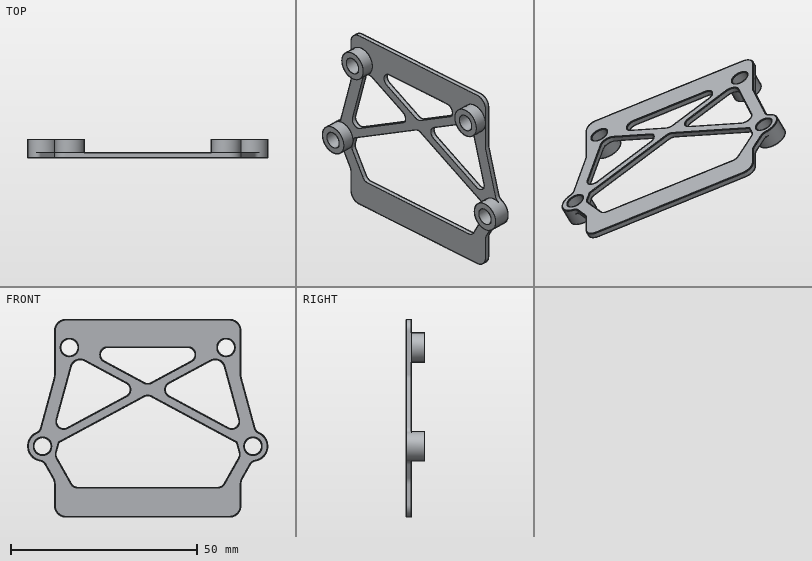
import cadquery as cq
import math

plate_height = 53.0
plate_half_width = 25.0
plate_thickness = 1.5
corner_radius = 3.0
edge_chamfer = 0.2

boss_diameter = 8.0
hole_diameter = 4.6
overall_depth = 5.0
overall_width = 64.4
boss_radius = boss_diameter / 2
lower_hole_x = overall_width / 2 - boss_radius
lower_hole_z = 19.0
upper_hole_x = plate_half_width - boss_radius
upper_hole_z = 45.45
ear_fillet = boss_radius / 2

cross_bar_width = 2.45
side_bar_width = 3.6
bottom_band_height = 8.0
top_window_z = upper_hole_z
lower_bar_lean = math.radians(29.5)
window_fillet = 1.9
boss_corner_fillet = 0.5
upper_corner_fillet = 2.5

lower_hole = (lower_hole_x, lower_hole_z)
upper_hole = (upper_hole_x, upper_hole_z)
cross_angle = math.atan2(upper_hole_z - lower_hole_z, upper_hole_x + lower_hole_x)
side_angle = math.atan2(upper_hole_z - lower_hole_z, upper_hole_x - lower_hole_x)
lower_bar_angle = math.pi / 2 - lower_bar_lean


def line(point, angle, left_offset=0.0):
    """Line through a point at an angle, shifted sideways to the left of its direction."""
    x = point[0] - left_offset * math.sin(angle)
    z = point[1] + left_offset * math.cos(angle)
    return x, z, angle


def meet(first, second):
    """Intersection point of two lines."""
    x1, z1, angle1 = first
    x2, z2, angle2 = second
    reach = (x2 - x1) * math.sin(angle2) - (z2 - z1) * math.cos(angle2)
    reach /= math.sin(angle2 - angle1)
    return x1 + reach * math.cos(angle1), z1 + reach * math.sin(angle1)


def mirrored(points):
    """The same points reflected to the -X side, in reverse order."""
    return [(-x, z) for x, z in reversed(points)]


def prism(points, depth):
    """Polygon in the XZ plane extruded from the front face toward +Y."""
    return cq.Workplane("XZ").polyline(points).close().extrude(-depth)


def cylinders(centers, diameter, depth):
    return cq.Workplane("XZ").pushPoints(centers).circle(diameter / 2).extrude(-depth)


def fillet_corners(body, corners, radius):
    """Round the plate-deep edges of a prism that stand at the given corners."""
    for x, z in corners:
        corner_edge = cq.selectors.NearestToPointSelector((x, plate_thickness / 2, z))
        body = body.edges("|Y").edges(corner_edge).fillet(radius)
    return body


rising_bar_top = line(upper_hole, cross_angle, cross_bar_width / 2)
rising_bar_bottom = line(upper_hole, cross_angle, -cross_bar_width / 2)
falling_bar_top = line(lower_hole, -cross_angle, cross_bar_width / 2)
falling_bar_bottom = line(lower_hole, -cross_angle, -cross_bar_width / 2)
side_bar_outside = line(lower_hole, side_angle, -side_bar_width / 2)
side_bar_inside = line(lower_hole, side_angle, side_bar_width / 2)
boss_tangent = line(lower_hole, side_angle, boss_radius)
lower_bar_outside = line(lower_hole, lower_bar_angle, -side_bar_width / 2)
lower_bar_inside = line(lower_hole, lower_bar_angle, side_bar_width / 2)
plate_side = line((plate_half_width, 0), math.pi / 2)
center_line = line((0, 0), math.pi / 2)
top_window_edge = line((0, top_window_z), 0)
bottom_band_edge = line((0, bottom_band_height), 0)


def hole_centers():
    return [(side * x, z) for side in (-1, 1) for x, z in (lower_hole, upper_hole)]


def plate_blank():
    """Plate outline with rounded ears that blend into the sides."""
    right_side = [
        (plate_half_width, 0),
        meet(plate_side, lower_bar_outside),
        meet(lower_bar_outside, side_bar_outside),
        meet(side_bar_outside, plate_side),
        (plate_half_width, plate_height),
    ]
    blank = prism(right_side + mirrored(right_side), plate_thickness)
    blank = blank.edges("|Y").fillet(corner_radius)
    ear_centers = [(-lower_hole_x, lower_hole_z), lower_hole]
    blank = blank.union(cylinders(ear_centers, boss_diameter, plate_thickness))
    for side in (-1, 1):
        around_ear = cq.selectors.BoxSelector(
            (side * (lower_hole_x - boss_radius / 2), 0, lower_hole_z - boss_diameter),
            (side * (lower_hole_x + boss_radius / 2), plate_thickness, lower_hole_z + boss_diameter),
        )
        blank = blank.edges("|Y").edges(around_ear).fillet(ear_fillet)
    return blank


def top_window():
    right_corner = meet(rising_bar_top, top_window_edge)
    crossing = meet(rising_bar_top, center_line)
    points = [crossing, right_corner] + mirrored([right_corner])
    return prism(points, plate_thickness).edges("|Y").fillet(window_fillet)


def side_window():
    """Triangular window on the +X side, rounder where it passes the upper boss."""
    upper_corner = meet(side_bar_inside, rising_bar_bottom)
    lower_corners = [
        meet(rising_bar_bottom, falling_bar_top),
        meet(falling_bar_top, side_bar_inside),
    ]
    window = prism(lower_corners + [upper_corner], plate_thickness)
    window = fillet_corners(window, [upper_corner], upper_corner_fillet)
    return fillet_corners(window, lower_corners, window_fillet)


def bottom_window():
    boss_corner = meet(boss_tangent, falling_bar_bottom)
    wide_corners = [
        meet(bottom_band_edge, lower_bar_inside),
        meet(lower_bar_inside, boss_tangent),
    ]
    right_side = wide_corners + [boss_corner]
    apex = meet(falling_bar_bottom, center_line)
    window = prism(right_side + [apex] + mirrored(right_side), plate_thickness)
    window = fillet_corners(window, [boss_corner] + mirrored([boss_corner]), boss_corner_fillet)
    return fillet_corners(window, wide_corners + [apex] + mirrored(wide_corners), window_fillet)


plate = plate_blank().cut(top_window()).cut(bottom_window())
plate = plate.cut(side_window()).cut(side_window().mirror("YZ"))
plate = plate.cut(cylinders(hole_centers(), hole_diameter, plate_thickness))
plate = plate.faces("<Y").edges().chamfer(edge_chamfer)

bosses = cylinders(hole_centers(), boss_diameter, overall_depth - plate_thickness)
bosses = bosses.cut(cylinders(hole_centers(), hole_diameter, overall_depth))
result = plate.union(bosses.translate((0, plate_thickness, 0)))